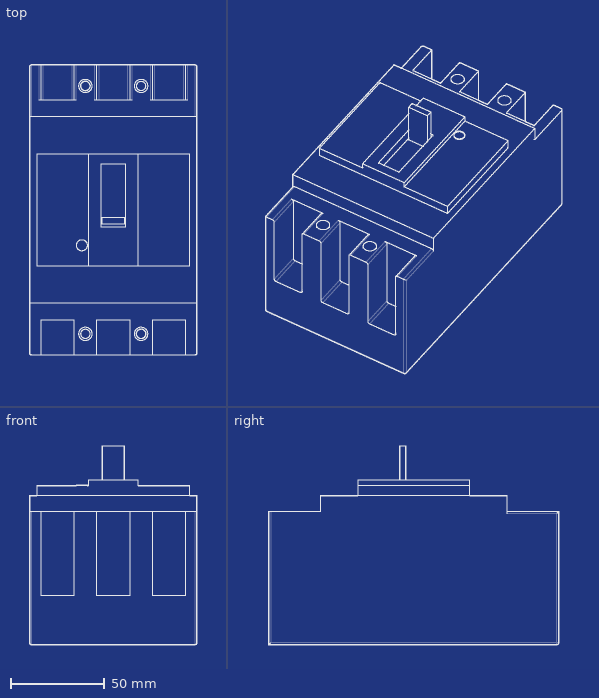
import cadquery as cq

width = 90.0
length = 155.9
shelf_height = 71.7
body_height = 80.1
centre_length = 100.2
edge_radius = 1.17

plate_width = 82.0
plate_length = 60.0
plate_height = 5.3
band_width = 26.7
band_height = 3.1
plate_top = body_height + plate_height
band_top = plate_top + band_height

slot_count = 3
slot_width = 17.8
slot_pitch = 30.0
slot_length = 18.9
slot_floor = 26.5

hole_x = slot_pitch / 2
hole_y = 66.5
hole_diameter = 5.0
counterbore_diameter = 7.2
counterbore_depth = 10.0
blind_hole_depth = shelf_height - slot_floor

window_width = 13.1
window_length = 33.8
window_y = 7.8
window_depth = 6.2
window_floor = band_top - window_depth
toggle_width = 12.0
toggle_thickness = 3.5
toggle_y = -6.0
toggle_top = 106.8

button_diameter = 6.0
button_x = -16.8
button_y = -19.0
button_height = 0.5


def block(size_x, size_y, z_bottom, z_top, x=0, y=0):
    """Upright box centred on (x, y) between two heights."""
    box = cq.Workplane("XY").box(size_x, size_y, z_top - z_bottom, centered=(True, True, False))
    return box.translate((x, y, z_bottom))


def cut_terminal_slots(body):
    for end in (-1, 1):
        slot_y = end * (length - slot_length) / 2
        for index in range(slot_count):
            slot_x = (index - (slot_count - 1) / 2) * slot_pitch
            body = body.cut(block(slot_width, slot_length, slot_floor, shelf_height, slot_x, slot_y))
    return body


def round_edges(body):
    """Round the corners, the side and +Y bottom edges, and the lengthwise edges of the +Y shelf."""
    margin = 0.2
    rear_shelf = cq.selectors.BoxSelector(
        (-width, centre_length / 2, slot_floor - margin),
        (width, length / 2, shelf_height + margin),
    )
    corners = body.edges("|Z").edges("<X or >X").edges("<Y or >Y")
    side_bottoms = body.edges("|Y").edges("<Z")
    rear_bottom = body.edges("|X").edges("<Z").edges(">Y")
    shelf_edges = body.edges("|Y").edges(rear_shelf)
    return corners.add(side_bottoms).add(rear_bottom).add(shelf_edges).fillet(edge_radius)


def cut_mounting_holes(body):
    """One diagonal pair of holes goes right through; the other pair is blind."""
    for x_side in (-1, 1):
        for y_side in (-1, 1):
            goes_through = x_side != y_side
            hole_depth = shelf_height if goes_through else blind_hole_depth
            shelf = cq.Workplane("XY", origin=(x_side * hole_x, y_side * hole_y, shelf_height))
            body = body.cut(shelf.circle(hole_diameter / 2).extrude(-hole_depth))
            body = body.cut(shelf.circle(counterbore_diameter / 2).extrude(-counterbore_depth))
    return body


def make_housing():
    body = block(width, length, 0, shelf_height)
    body = body.union(block(width, centre_length, shelf_height, body_height))
    body = cut_terminal_slots(body)
    body = round_edges(body)
    body = cut_mounting_holes(body)
    body = body.union(block(plate_width, plate_length, body_height, plate_top))
    body = body.union(block(band_width, plate_length, plate_top, band_top))
    return body.cut(block(window_width, window_length, window_floor, band_top, 0, window_y))


def make_toggle():
    return block(toggle_width, toggle_thickness, window_floor, toggle_top, 0, toggle_y)


def make_button():
    plate_face = cq.Workplane("XY", origin=(button_x, button_y, plate_top))
    return plate_face.circle(button_diameter / 2).extrude(button_height)


housing = make_housing()
toggle = make_toggle()
button = make_button()

result = cq.Compound.makeCompound([housing.val(), toggle.val(), button.val()])